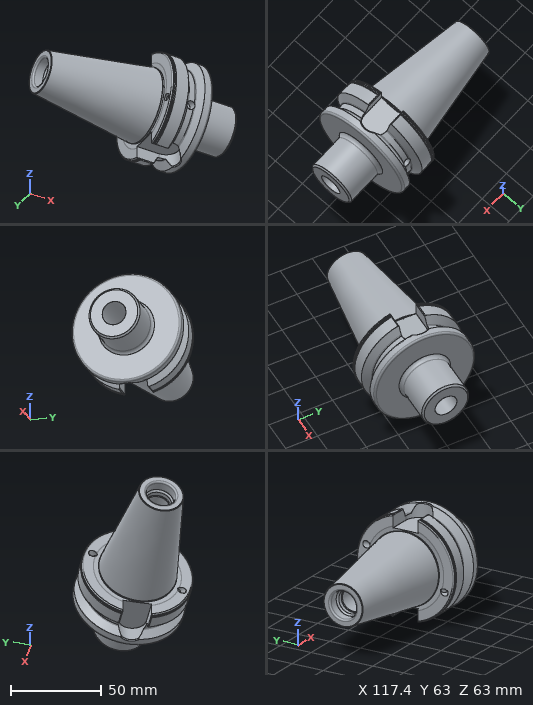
import cadquery as cq
import math


total_length = 117.4
taper_length = 65.4
flange_front = 66.3
flange_rear = 92.4

taper_large_radius = 22.2
taper_ratio = 7 / 24
taper_small_radius = taper_large_radius - taper_length * taper_ratio / 2
taper_chamfer = 0.4

undercut_outer_radius = 24.9
undercut_depth = 0.4
neck_radius = 21.8

flange_diameter = 63.0
flange_radius = flange_diameter / 2
front_round = 0.7
rear_round = 1.2

vee_center = 82.0
vee_floor_half_width = 2.2
vee_floor_radius = 26.4
vee_flank_angle = 30.0
vee_corner_round = 0.6
vee_half_width = vee_floor_half_width + (flange_radius - vee_floor_radius) * math.tan(
    math.radians(vee_flank_angle)
)

ring_groove_center = 68.1
ring_groove_half_width = 0.9
ring_groove_floor_half_width = 0.4
ring_groove_depth = 0.2

nose_radius = 14.7
nose_chamfer = 1.0
nose_blend_radius = 3.2
nose_blend_length = 2.7

mouth_round = 1.0
counterbore_radius = 8.3
counterbore_end = 6.3
thread_radius = 7.3
thread_end = 10.0
bore_radius = 6.8

slot_floor_spacing = 45.0
slot_floor = slot_floor_spacing / 2
slot_width = 16.1
slot_half_width = slot_width / 2
slot_end = 88.4
slot_edge_chamfer = 0.6

face_hole_diameter = 4.1
hole_turn = 20.0
face_hole_radial_place = 26.9
face_hole_tilt = 33.0
face_hole_length = 3.3
groove_hole_radius = 2.5
groove_hole_depth = 5.9
drill_half_angle = 59.0

overshoot = 1.2
tolerance = 0.01


def revolve_about_x(sketch):
    return sketch.close().revolve(360, (0, 0, 0), (1, 0, 0))


def make_body():
    blend_drop = nose_blend_radius - math.sqrt(nose_blend_radius**2 - nose_blend_length**2)
    blend_end = flange_rear + nose_blend_length
    blend_mid_angle = math.asin(nose_blend_length / nose_blend_radius) / 2
    blend_mid = (
        blend_end - nose_blend_radius * math.sin(blend_mid_angle),
        nose_radius + nose_blend_radius * (1 - math.cos(blend_mid_angle)),
    )
    outline = (
        cq.Workplane("XZ")
        .lineTo(0, taper_small_radius - taper_chamfer)
        .lineTo(taper_chamfer, taper_small_radius + taper_chamfer * taper_ratio / 2)
        .lineTo(taper_length, taper_large_radius)
        .lineTo(taper_length + taper_large_radius - neck_radius, neck_radius)
        .lineTo(flange_front + undercut_depth, neck_radius)
        .lineTo(flange_front, undercut_outer_radius)
        .lineTo(flange_front, flange_radius)
        .lineTo(flange_rear, flange_radius)
        .lineTo(flange_rear, nose_radius + blend_drop)
        .threePointArc(blend_mid, (blend_end, nose_radius))
        .lineTo(total_length - nose_chamfer, nose_radius)
        .lineTo(total_length, nose_radius - nose_chamfer)
        .lineTo(total_length, 0)
    )
    return revolve_about_x(outline)


def circles_of_radius(shape, radius):
    arcs = shape.edges("%CIRCLE").vals()
    return [arc for arc in arcs if abs(arc.radius() - radius) < tolerance]


def round_flange_rims(body):
    for x, rounding in ((flange_front, front_round), (flange_rear, rear_round)):
        rim = [
            arc
            for arc in circles_of_radius(body, flange_radius)
            if abs(arc.Center().x - x) < tolerance
        ]
        body = body.newObject(rim).fillet(rounding)
    return body


def make_ring(center, outer_half_width, floor_half_width, floor_radius):
    """Trapezoidal ring whose flanks reach the flange surface, plus a margin outside."""
    outline = (
        cq.Workplane("XZ")
        .moveTo(center - floor_half_width, floor_radius)
        .lineTo(center + floor_half_width, floor_radius)
        .lineTo(center + outer_half_width, flange_radius)
        .lineTo(center + outer_half_width, flange_radius + overshoot)
        .lineTo(center - outer_half_width, flange_radius + overshoot)
        .lineTo(center - outer_half_width, flange_radius)
    )
    return revolve_about_x(outline)


def make_vee_groove():
    ring = make_ring(vee_center, vee_half_width, vee_floor_half_width, vee_floor_radius)
    floor_edges = circles_of_radius(ring, vee_floor_radius)
    return ring.newObject(floor_edges).fillet(vee_corner_round)


def make_ring_groove():
    return make_ring(
        ring_groove_center,
        ring_groove_half_width,
        ring_groove_floor_half_width,
        flange_radius - ring_groove_depth,
    )


def make_bore():
    outline = (
        cq.Workplane("XZ")
        .lineTo(0, counterbore_radius + mouth_round)
        .radiusArc((mouth_round, counterbore_radius), -mouth_round)
        .lineTo(counterbore_end, counterbore_radius)
        .lineTo(counterbore_end + counterbore_radius - thread_radius, thread_radius)
        .lineTo(thread_end, thread_radius)
        .lineTo(thread_end + thread_radius - bore_radius, bore_radius)
        .lineTo(total_length, bore_radius)
        .lineTo(total_length, 0)
    )
    return revolve_about_x(outline)


def make_drive_slot():
    """Round-ended slot at +Z, open toward the taper."""
    arc_center = slot_end - slot_half_width
    return (
        cq.Workplane("XY", origin=(0, 0, slot_floor))
        .moveTo(taper_length, -slot_half_width)
        .lineTo(arc_center, -slot_half_width)
        .threePointArc((slot_end, 0), (arc_center, slot_half_width))
        .lineTo(taper_length, slot_half_width)
        .close()
        .extrude(flange_radius)
    )


def chamfer_slot_rims(body):
    """Chamfer the slot edges that lie on the outer cylinder of the flange."""
    rim_sample_places = (0.0, 0.3, 0.7, 1.0)
    rim_edges = []
    for edge in body.edges().vals():
        points = [edge.positionAt(t) for t in rim_sample_places]
        on_flange = all(abs(math.hypot(p.y, p.z) - flange_radius) < tolerance for p in points)
        in_slot = all(abs(p.y) < slot_half_width + tolerance for p in points)
        if on_flange and in_slot:
            rim_edges.append(edge)
    return body.newObject(rim_edges).chamfer(slot_edge_chamfer)


def make_coolant_holes():
    """Face hole leaning inward and blind groove hole, in the +Y direction before turning."""
    tilt = math.radians(face_hole_tilt)
    direction = cq.Vector(math.cos(tilt), -math.sin(tilt), 0)
    mouth = cq.Vector(flange_front, face_hole_radial_place, 0)
    face_hole = cq.Solid.makeCylinder(
        face_hole_diameter / 2,
        face_hole_length + overshoot,
        mouth - direction * overshoot,
        direction,
    )
    bottom = vee_floor_radius - groove_hole_depth
    inward = cq.Vector(0, -1, 0)
    groove_hole = cq.Solid.makeCylinder(
        groove_hole_radius,
        groove_hole_depth + overshoot,
        cq.Vector(vee_center, vee_floor_radius + overshoot, 0),
        inward,
    )
    drill_tip = cq.Solid.makeCone(
        groove_hole_radius,
        0,
        groove_hole_radius / math.tan(math.radians(drill_half_angle)),
        cq.Vector(vee_center, bottom, 0),
        inward,
    )
    return cq.Workplane(face_hole).add(groove_hole).add(drill_tip).combine()


def half_turn_pair(tool, first_turn=0.0):
    """The tool turned about X, and its copy on the opposite side."""
    first = tool.rotate((0, 0, 0), (1, 0, 0), first_turn)
    second = first.rotate((0, 0, 0), (1, 0, 0), 180)
    return first, second


result = make_body()
for slot in half_turn_pair(make_drive_slot()):
    result = result.cut(slot)
result = chamfer_slot_rims(result)
result = round_flange_rims(result)
result = result.cut(make_vee_groove())
result = result.cut(make_ring_groove())
result = result.cut(make_bore())
for holes in half_turn_pair(make_coolant_holes(), hole_turn):
    result = result.cut(holes)